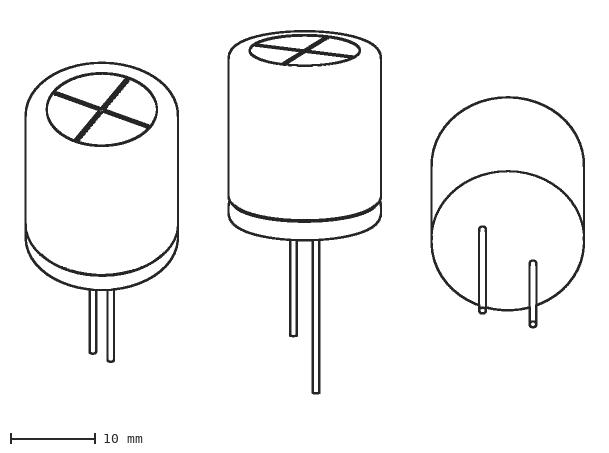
import cadquery as cq
import math

can_diameter = 18.0
can_height = 21.0
can_radius = can_diameter / 2
rim_radius = 1.0

groove_mid_z = 2.5
groove_half_height = 0.55
flank_diameter = 17.8
flank_half_height = 0.31
neck_diameter = 17.1
neck_half_height = 0.1

recess_diameter = 13.0
recess_depth = 0.1
score_length = 12.4
score_width = 0.4
score_depth = 0.2
score_angles = (45, -45)

lead_diameter = 0.8
lead_pitch = 7.5
long_lead_length = 20.0
short_lead_length = 15.0


def make_can_blank():
    """Revolve the half profile with rounded rims."""
    flat_radius = can_radius - rim_radius
    top_rim_z = can_height - rim_radius
    profile = (
        cq.Workplane("XZ")
        .lineTo(flat_radius, 0)
        .tangentArcPoint((can_radius, rim_radius), relative=False)
        .lineTo(can_radius, top_rim_z)
        .tangentArcPoint((flat_radius, can_height), relative=False)
        .lineTo(0, can_height)
        .close()
    )
    return profile.revolve(360, (0, 0, 0), (0, 1, 0))


def make_crimp_groove():
    """Revolve the material removed by the groove: rounded lips, sloped flanks and a narrow neck."""
    neck_radius = neck_diameter / 2
    flank_radius = flank_diameter / 2
    lip_drop = can_radius - flank_radius
    lip_height = groove_half_height - flank_half_height
    lip_radius = (lip_drop**2 + lip_height**2) / (2 * lip_drop)
    lip_half_angle = math.asin(lip_height / lip_radius) / 2
    lip_mid_radius = can_radius - lip_radius * (1 - math.cos(lip_half_angle))
    lip_mid_offset = groove_half_height - lip_radius * math.sin(lip_half_angle)

    profile = (
        cq.Workplane("XZ", origin=(0, 0, groove_mid_z))
        .moveTo(can_radius, -groove_half_height)
        .threePointArc((lip_mid_radius, -lip_mid_offset), (flank_radius, -flank_half_height))
        .lineTo(neck_radius, -neck_half_height)
        .lineTo(neck_radius, neck_half_height)
        .lineTo(flank_radius, flank_half_height)
        .threePointArc((lip_mid_radius, lip_mid_offset), (can_radius, groove_half_height))
        .close()
    )
    return profile.revolve(360, (0, 0, 0), (0, 1, 0))


def make_top_recess():
    """Disc removed from the top face."""
    floor_z = can_height - recess_depth
    return cq.Workplane("XY").workplane(offset=floor_z).circle(recess_diameter / 2).extrude(recess_depth)


def make_vent_score(angle):
    """Straight score below the recess floor, turned about Z."""
    bottom_z = can_height - recess_depth - score_depth
    score = cq.Workplane("XY").workplane(offset=bottom_z).rect(score_length, score_width).extrude(score_depth)
    return score.rotate((0, 0, 0), (0, 0, 1), angle)


def make_can():
    can = make_can_blank().cut(make_crimp_groove()).cut(make_top_recess())
    for angle in score_angles:
        can = can.cut(make_vent_score(angle))
    return can


def make_lead(x, length):
    """Wire hanging down from the can base."""
    return cq.Workplane("XY").center(x, 0).circle(lead_diameter / 2).extrude(-length)


can = make_can()
leads = []
for x, length in ((-lead_pitch / 2, long_lead_length), (lead_pitch / 2, short_lead_length)):
    leads.append(make_lead(x, length))

result = cq.Compound.makeCompound([can.val(), *[lead.val() for lead in leads]])